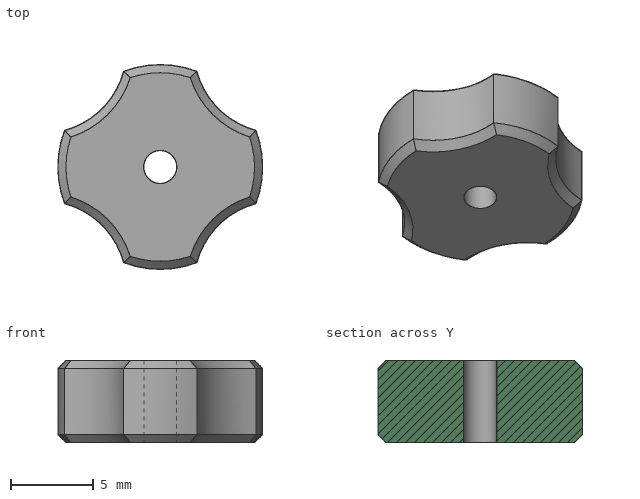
import cadquery as cq
import math

outer_radius = 6.24
height = 5.0
bore_diameter = 2.0
chamfer_size = 0.5

lobe_count = 4
lobe_half_width = 2.23
scallop_depth = 1.22

lobe_half_angle = math.degrees(math.asin(lobe_half_width / outer_radius))
lobe_pitch = 360 / lobe_count


def polar_point(radius, angle):
    """Point at a radius and an angle in degrees about the knob axis."""
    return (radius * math.cos(math.radians(angle)), radius * math.sin(math.radians(angle)))


def knob_outline():
    """Closed outline of convex lobes alternating with concave scallops."""
    outline = cq.Workplane("XY").moveTo(*polar_point(outer_radius, -lobe_half_angle))
    for lobe in range(lobe_count):
        lobe_angle = lobe * lobe_pitch
        outline = outline.threePointArc(
            polar_point(outer_radius, lobe_angle),
            polar_point(outer_radius, lobe_angle + lobe_half_angle),
        )
        outline = outline.threePointArc(
            polar_point(outer_radius - scallop_depth, lobe_angle + lobe_pitch / 2),
            polar_point(outer_radius, lobe_angle + lobe_pitch - lobe_half_angle),
        )
    return outline.close()


body = knob_outline().extrude(height)
body = body.faces("<Z or >Z").edges().chamfer(chamfer_size)

result = body.faces(">Z").workplane(origin=(0, 0, height)).hole(bore_diameter)